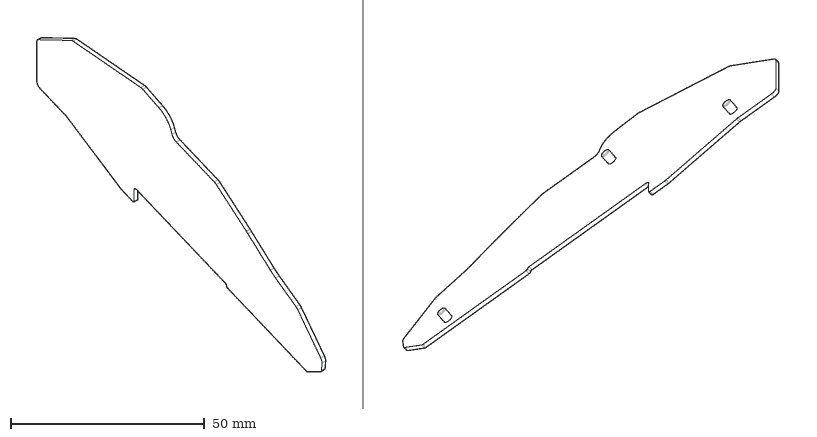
import cadquery as cq
import math

length = 123.0
height = 51.35
plate_thickness = 1.2
total_depth = 4.2

pin_diameter = 2.5
pin_length = total_depth - plate_thickness
pin_tip_radius = 0.25
pin_centers = [(14.05, 12.5), (54.0, 34.2), (108.0, 9.8)]

tail_floor = 6.4
belly_floor = 6.6
nose_floor = 5.5
deck_level = 44.1

tail_top = 25.4
foot_front = 42.0
belly_step = 81.8
nose_top = 16.7
nose_bottom = 11.8

tail_slope_run = 15.25
foot_back = 36.4
tail_floor_end = 12.7
nose_floor_end = 116.55
nose_lean = 0.35

corner_radius = 2.0
tail_radius = 1.5
foot_inner_radius = 1.0
small_radius = 0.6
step_radius = 0.5
crest_radius = 6.0
hood_radius = 14.0

peak_x = 45.3
peak_z = height + 0.04

nose_x = length + 0.06

corners = [
    (0.0, tail_floor, tail_radius),
    (0.0, tail_top, corner_radius),
    (tail_slope_run, tail_top + tail_slope_run, corner_radius),
    (peak_x, peak_z, corner_radius),
    (56.5, 50.4, crest_radius),
    (58.8, deck_level, corner_radius),
    (77.0, deck_level, corner_radius),
    (90.7, 37.45, hood_radius),
    (101.8, 31.3, hood_radius),
    (112.2, 27.75, corner_radius),
    (nose_x, nose_top, corner_radius),
    (nose_x - nose_lean, nose_bottom, corner_radius),
    (nose_floor_end, nose_floor, small_radius),
    (belly_step, nose_floor, step_radius),
    (belly_step, belly_floor, step_radius),
    (foot_front, belly_floor, foot_inner_radius),
    (foot_front, 0.0, small_radius),
    (foot_back, 0.0, corner_radius),
    (tail_floor_end, tail_floor, corner_radius),
]


def rounded_corner(before, corner, after, radius):
    """Return the start, middle and end points of the arc that rounds a corner."""
    point = cq.Vector(*corner)
    to_before = (cq.Vector(*before) - point).normalized()
    to_after = (cq.Vector(*after) - point).normalized()
    half_angle = to_before.getAngle(to_after) / 2
    setback = radius / math.tan(half_angle)
    apex_distance = radius / math.sin(half_angle) - radius
    bisector = (to_before + to_after).normalized()
    arc_points = (
        point + to_before * setback,
        point + bisector * apex_distance,
        point + to_after * setback,
    )
    return [p.toTuple()[:2] for p in arc_points]


def make_plate():
    """Flat plate with its front face on Y = 0 and its thickness along +Y.

    The outline starts and ends halfway up the upright tail edge.
    """
    outline = cq.Workplane("XZ").moveTo(0.0, (tail_floor + tail_top) / 2)
    following = corners[1:] + corners[:1]
    after_next = corners[2:] + corners[:2]
    for before, (x, z, radius), after in zip(corners, following, after_next):
        start, middle, end = rounded_corner(before[:2], (x, z), after[:2], radius)
        outline = outline.lineTo(*start).threePointArc(middle, end)
    return outline.close().extrude(-plate_thickness)


def make_pins():
    """Round pins with rounded tips, standing on the back face of the plate."""
    back_face = cq.Workplane("XZ", origin=(0, plate_thickness, 0))
    pins = back_face.pushPoints(pin_centers).circle(pin_diameter / 2).extrude(-pin_length)
    return pins.faces(">Y").edges().fillet(pin_tip_radius)


result = make_plate().union(make_pins())